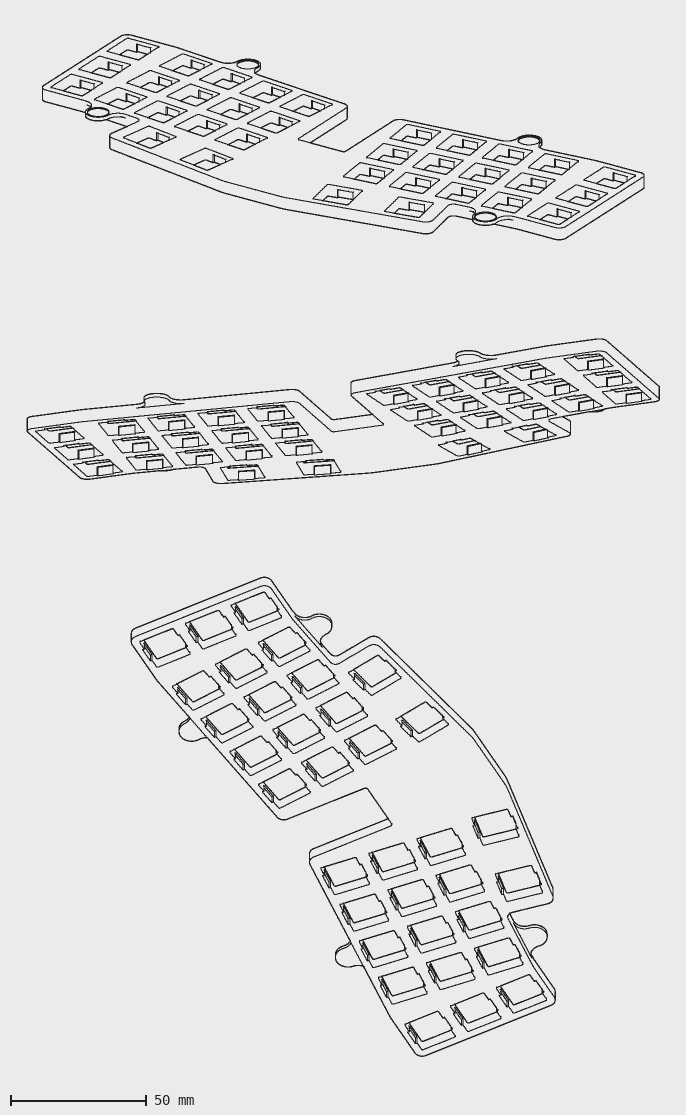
import cadquery as cq
import math


length = 229.5
thickness = 4.8
half_length = length / 2

key_pitch = 19.0
key_opening = 14.0
key_corner_radius = 0.5
rim_thickness = 1.5
clip_notch_width = 6.2
clip_notch_depth = 0.7
border = 3.0
edge_distance = key_opening / 2 + border

outer_rows = 3
outer_x = -half_length + edge_distance
outer_y = 61.0

main_columns = 4
main_rows = 3
main_tilt = -6.0
main_center = (-54.5, 57.0)

thumb_keys = 2
thumb_tilt = -10.0
thumb_pitch = 1.5 * key_pitch
thumb_center = (-43.0, 15.4)
thumb_side_distance = 12.6

slot_half_width = 10.3
slot_floor_y = 46.0

corner_radius = 3.0
thumb_joint_radius = 2.3
slot_floor_radius = 1.0
bend_radius = 16.0

tab_diameter = 9.5
tab_radius = tab_diameter / 2
tab_flare_radius = 4.4
tab_root = 1.1
recess_diameter = 8.0
recess_depth = 0.5
rear_tab_along = -11.0
front_tab_along = -27.3


def turned(center, tilt, along, across):
    """Point at (along, across) in a frame placed at center and turned by tilt degrees."""
    c = math.cos(math.radians(tilt))
    s = math.sin(math.radians(tilt))
    return (center[0] + along * c - across * s, center[1] + along * s + across * c)


def y_on_line(point, tilt, x):
    """Y at x on the line through point with the given tilt."""
    return point[1] + (x - point[0]) * math.tan(math.radians(tilt))


def x_on_line(point, tilt, y):
    """X at y on the line through point with the given tilt."""
    return point[0] + (y - point[1]) / math.tan(math.radians(tilt))


def crossing(point_a, tilt_a, point_b, tilt_b):
    """Point where two tilted lines meet."""
    slope_a = math.tan(math.radians(tilt_a))
    slope_b = math.tan(math.radians(tilt_b))
    x = (point_b[1] - point_a[1] + slope_a * point_a[0] - slope_b * point_b[0]) / (slope_a - slope_b)
    return (x, y_on_line(point_a, tilt_a, x))


main_reach = (main_rows - 1) / 2 * key_pitch + edge_distance
outer_reach = (outer_rows - 1) / 2 * key_pitch + edge_distance
outer_rear_y = outer_y + outer_reach
outer_front_y = outer_y - outer_reach
main_rear = turned(main_center, main_tilt, 0, main_reach)
main_front = turned(main_center, main_tilt, 0, -main_reach)
thumb_front = turned(thumb_center, thumb_tilt, 0, -edge_distance)
thumb_side_along = -((thumb_keys - 1) / 2 * thumb_pitch + thumb_side_distance)
thumb_side = turned(thumb_center, thumb_tilt, thumb_side_along, 0)
thumb_corner = turned(thumb_center, thumb_tilt, thumb_side_along, -edge_distance)


def make_half_plate():
    """Left half of the plate with its rounded outline, without openings."""
    corners = [
        ((-half_length, outer_front_y), corner_radius),
        ((-half_length, outer_rear_y), corner_radius),
        ((x_on_line(main_rear, main_tilt, outer_rear_y), outer_rear_y), bend_radius),
        ((-slot_half_width, y_on_line(main_rear, main_tilt, -slot_half_width)), corner_radius),
        ((-slot_half_width, slot_floor_y), slot_floor_radius),
        ((0, slot_floor_y), None),
        ((0, 0), None),
        ((x_on_line(thumb_front, thumb_tilt, 0), 0), bend_radius),
        (thumb_corner, corner_radius),
        (crossing(main_front, main_tilt, thumb_side, thumb_tilt + 90), thumb_joint_radius),
        ((x_on_line(main_front, main_tilt, outer_front_y), outer_front_y), bend_radius),
    ]
    plate = cq.Workplane("XY").polyline([point for point, _ in corners]).close().extrude(thickness)
    for (x, y), radius in corners:
        if radius:
            corner_edge = cq.selectors.NearestToPointSelector((x, y, thickness / 2))
            plate = plate.edges("|Z").edges(corner_edge).fillet(radius)
    return plate


def make_openings(center, tilt, columns, rows, pitch):
    """Cutters for a grid of square switch openings.

    Each opening has rounded corners. Clip notches undercut the middle of its front and rear walls,
    from the underside up to the rim.
    """
    grid = (
        cq.Workplane("XY", origin=(center[0], center[1], 0))
        .transformed(rotate=(0, 0, tilt))
        .rarray(pitch, pitch, columns, rows)
    )
    squares = grid.rect(key_opening, key_opening).extrude(thickness).edges("|Z").fillet(key_corner_radius)
    notch_span = key_opening + 2 * clip_notch_depth
    notches = grid.rect(clip_notch_width, notch_span).extrude(thickness - rim_thickness)
    return squares.union(notches)


def tab_place(edge_point, along, outward):
    """Plane on the plate top, with its origin on the tilted edge and its Y axis pointing off the plate."""
    x, y = turned(edge_point, main_tilt, along, 0)
    edge_direction = turned((0, 0), main_tilt, outward, 0)
    return cq.Plane(origin=(x, y, thickness), xDir=(*edge_direction, 0), normal=(0, 0, 1))


def make_tab(place):
    """Thin round tab that touches the plate edge and flares into it on both sides."""
    foot = 2 * math.sqrt(tab_radius * tab_flare_radius)
    share = tab_radius / (tab_radius + tab_flare_radius)
    touch_x = foot * share
    touch_y = tab_radius + (tab_flare_radius - tab_radius) * share
    sweep = math.atan2(foot - touch_x, tab_flare_radius - touch_y)
    mid_x = foot - tab_flare_radius * math.sin(sweep / 2)
    mid_y = tab_flare_radius * (1 - math.cos(sweep / 2))
    return (
        cq.Workplane(place)
        .moveTo(-foot, -tab_root)
        .lineTo(-foot, 0)
        .threePointArc((-mid_x, mid_y), (-touch_x, touch_y))
        .threePointArc((0, 2 * tab_radius), (touch_x, touch_y))
        .threePointArc((mid_x, mid_y), (foot, 0))
        .lineTo(foot, -tab_root)
        .close()
        .extrude(-rim_thickness)
    )


def make_recess(place):
    """Shallow round recess in the top of a tab."""
    return cq.Workplane(place).center(0, tab_radius).circle(recess_diameter / 2).extrude(-recess_depth)


half = make_half_plate()

half = half.cut(make_openings((outer_x, outer_y), 0, 1, outer_rows, key_pitch))
half = half.cut(make_openings(main_center, main_tilt, main_columns, main_rows, key_pitch))
half = half.cut(make_openings(thumb_center, thumb_tilt, thumb_keys, 1, thumb_pitch))

tab_places = [
    tab_place(main_rear, rear_tab_along, 1),
    tab_place(main_front, front_tab_along, -1),
]
for place in tab_places:
    half = half.union(make_tab(place)).cut(make_recess(place))

result = half.union(half.mirror("YZ")).clean()